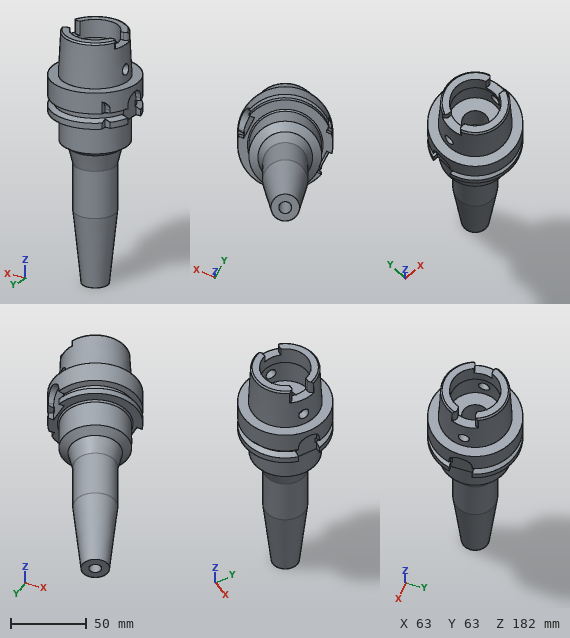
import cadquery as cq
import math

total_length = 182.0
shank_length = 32.0
flange_thickness = 26.0
body_bottom_z = 103.0
neck_top_z = 99.0
neck_bottom_z = 86.5
nose_top_z = 52.5
flange_top_z = total_length - shank_length
flange_bottom_z = flange_top_z - flange_thickness

flange_radius = 31.5
groove_radius = 27.5
body_radius = 24.0
neck_top_radius = 18.0
stem_radius = 15.0
nose_tip_radius = 9.5
shank_base_radius = 24.4
shank_top_radius = 23.0
shank_chamfer = 1.1
shank_chamfer_height = 1.3
relief_height = 1.3
relief_radius = 25.0

groove_start = 15.0
groove_floor_start = 16.0
groove_floor_end = 19.8
groove_end = 21.7

mouth_radius = 17.0
mouth_depth = 13.0
cavity_radius = 18.5
cavity_depth = shank_length
counterbore_radius = 9.1
counterbore_depth = 21.8
through_radius = 4.2

notch_width = 12.5
left_notch_depth = 5.6
right_notch_depth = 10.0
lug_corner_radius = 3.0

cross_hole_radius = 3.8
cross_hole_z = flange_top_z + 9.0

drive_slot_radius = 8.0
drive_slot_floor_x = 26.5
slot_center_z = flange_top_z - 13.0
index_slot_radius = 7.3
index_slot_edge_y = 20.0
index_slot_floor_x = 20.4


def make_turned_body():
    """Revolve the outside profile about Z."""
    return (
        cq.Workplane("XZ")
        .lineTo(nose_tip_radius, 0)
        .lineTo(stem_radius, nose_top_z)
        .lineTo(stem_radius, neck_bottom_z)
        .lineTo(neck_top_radius, neck_top_z)
        .lineTo(body_radius, body_bottom_z)
        .lineTo(body_radius, flange_bottom_z - relief_height)
        .lineTo(relief_radius, flange_bottom_z)
        .lineTo(flange_radius, flange_bottom_z)
        .lineTo(flange_radius, flange_top_z - groove_end)
        .lineTo(groove_radius, flange_top_z - groove_floor_end)
        .lineTo(groove_radius, flange_top_z - groove_floor_start)
        .lineTo(flange_radius, flange_top_z - groove_start)
        .lineTo(flange_radius, flange_top_z)
        .lineTo(shank_base_radius, flange_top_z)
        .lineTo(shank_top_radius, total_length - shank_chamfer_height)
        .lineTo(shank_top_radius - shank_chamfer, total_length)
        .lineTo(0, total_length)
        .close()
        .revolve(360, (0, 0, 0), (0, 1, 0))
    )


def make_bore(radius, top_depth, bottom_depth):
    """Axial cylinder between two depths below the shank rim."""
    return (
        cq.Workplane("XY")
        .workplane(offset=total_length - bottom_depth)
        .circle(radius)
        .extrude(bottom_depth - top_depth)
    )


def make_rim_notch(side, depth):
    """Notch through one rim wall, flaring outward around the rounded lug corners."""
    half_width = notch_width / 2
    flare_half_width = half_width + lug_corner_radius
    flare_end_x = math.sqrt(shank_top_radius**2 - flare_half_width**2)
    flare_start_x = flare_end_x - lug_corner_radius
    arc_offset = lug_corner_radius * math.sqrt(0.5)
    arc_mid_x = flare_start_x + arc_offset
    arc_mid_y = flare_half_width - arc_offset
    return (
        cq.Workplane("XY")
        .workplane(offset=total_length - depth)
        .moveTo(0, -half_width)
        .lineTo(side * flare_start_x, -half_width)
        .threePointArc((side * arc_mid_x, -arc_mid_y), (side * flare_end_x, -flare_half_width))
        .lineTo(side * flange_radius, -flare_half_width)
        .lineTo(side * flange_radius, flare_half_width)
        .lineTo(side * flare_end_x, flare_half_width)
        .threePointArc((side * arc_mid_x, arc_mid_y), (side * flare_start_x, half_width))
        .lineTo(0, half_width)
        .close()
        .extrude(depth)
    )


def make_flange_slot(side, center_y, radius, floor_x):
    """Round-topped slot cut along X, open through the flange underside."""
    slot_bottom_z = flange_bottom_z - relief_height
    return (
        cq.Workplane("YZ")
        .workplane(offset=side * floor_x)
        .moveTo(center_y - radius, slot_bottom_z)
        .lineTo(center_y - radius, slot_center_z)
        .threePointArc((center_y, slot_center_z + radius), (center_y + radius, slot_center_z))
        .lineTo(center_y + radius, slot_bottom_z)
        .close()
        .extrude(side * flange_radius)
    )


result = make_turned_body()

counterbore_end = cavity_depth + counterbore_depth
result = result.cut(make_bore(mouth_radius, 0, mouth_depth))
result = result.cut(make_bore(cavity_radius, mouth_depth, cavity_depth))
result = result.cut(make_bore(counterbore_radius, cavity_depth, counterbore_end))
result = result.cut(make_bore(through_radius, counterbore_end, total_length))

for side, depth in ((-1, left_notch_depth), (1, right_notch_depth)):
    result = result.cut(make_rim_notch(side, depth))

cross_hole = (
    cq.Workplane("YZ")
    .center(0, cross_hole_z)
    .circle(cross_hole_radius)
    .extrude(flange_radius, both=True)
)
result = result.cut(cross_hole)

for side in (-1, 1):
    result = result.cut(make_flange_slot(side, 0, drive_slot_radius, drive_slot_floor_x))
index_slot_y = index_slot_edge_y + index_slot_radius
result = result.cut(make_flange_slot(-1, index_slot_y, index_slot_radius, index_slot_floor_x))